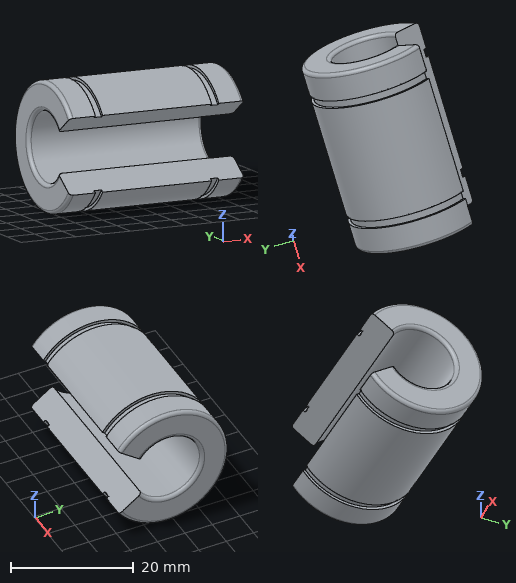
import cadquery as cq
import math

length = 32.0
outer_diameter = 22.0
bore_diameter = 12.0
edge_radius = 0.65
groove_width = 1.3
groove_outer_edge = 4.7
groove_diameter = 21.0
opening_half_angle = 35.4


def tube(tube_length, outside, inside):
    """Hollow cylinder along X, centred on the origin."""
    return (
        cq.Workplane("YZ")
        .circle(outside / 2)
        .circle(inside / 2)
        .extrude(tube_length / 2, both=True)
    )


def opening():
    """Wedge from the axis that opens the tube toward -Y."""
    reach = outer_diameter
    half_width = reach * math.tan(math.radians(opening_half_angle))
    return (
        cq.Workplane("YZ")
        .polyline([(0, 0), (-reach, half_width), (-reach, -half_width)])
        .close()
        .extrude(length, both=True)
    )


body = tube(length, outer_diameter, bore_diameter).faces("<X or >X").edges().fillet(edge_radius)

groove_center = length / 2 - groove_outer_edge - groove_width / 2
groove_cutter = tube(groove_width, outer_diameter + groove_width, groove_diameter)
for side in (-1, 1):
    body = body.cut(groove_cutter.translate((side * groove_center, 0, 0)))

result = body.cut(opening())